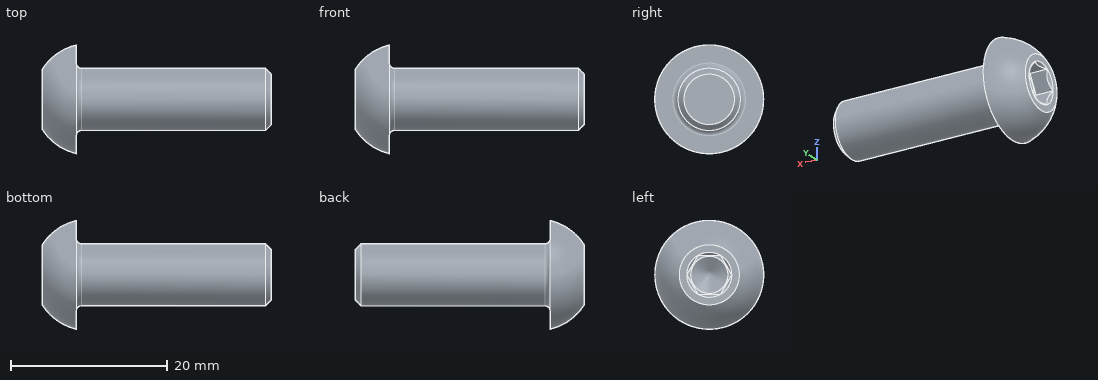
import cadquery as cq
import math

total_length = 29.4
head_diameter = 14.0
head_height = 4.4
head_face_diameter = 7.7
shank_diameter = 8.0
neck_fillet = 0.65
tip_chamfer = 0.75
socket_width = 5.0
socket_depth = 2.6
socket_mouth_diameter = 5.75
socket_mouth_angle = 45.0
drill_diameter = 4.75
drill_tip_angle = 120.0

head_radius = head_diameter / 2
head_face_radius = head_face_diameter / 2
shank_radius = shank_diameter / 2


def dome_midpoint():
    """Point on the dome halfway between the face edge and the rim.

    The dome is a sphere centred on the axis, passing through both edges.
    """
    center_x = (head_height**2 + head_radius**2 - head_face_radius**2) / (2 * head_height)
    dome_radius = math.hypot(center_x, head_face_radius)
    face_angle = math.atan2(head_face_radius, -center_x)
    rim_angle = math.atan2(head_radius, head_height - center_x)
    angle = (face_angle + rim_angle) / 2
    return center_x + dome_radius * math.cos(angle), dome_radius * math.sin(angle)


def revolve_about_x(profile):
    return profile.close().revolve(360, (0, 0, 0), (1, 0, 0))


def screw_body():
    fillet_mid = neck_fillet * (1 - math.sqrt(0.5))
    profile = (
        cq.Workplane("XY")
        .lineTo(0, head_face_radius)
        .threePointArc(dome_midpoint(), (head_height, head_radius))
        .lineTo(head_height, shank_radius + neck_fillet)
        .threePointArc(
            (head_height + fillet_mid, shank_radius + fillet_mid),
            (head_height + neck_fillet, shank_radius),
        )
        .lineTo(total_length - tip_chamfer, shank_radius)
        .lineTo(total_length, shank_radius - tip_chamfer)
        .lineTo(total_length, 0)
    )
    return revolve_about_x(profile)


def hex_socket():
    """Hexagon with two corners on the Y axis."""
    across_corners = socket_width / math.cos(math.pi / 6)
    return cq.Workplane("YZ").polygon(6, across_corners).extrude(socket_depth)


def socket_mouth():
    """Conical lead-in that trims the hexagon corners at the head face."""
    mouth_radius = socket_mouth_diameter / 2
    cone_height = mouth_radius / math.tan(math.radians(socket_mouth_angle))
    return revolve_about_x(cq.Workplane("XY").lineTo(0, mouth_radius).lineTo(cone_height, 0))


def drill_point():
    """Cone left by the pilot drill at the socket floor."""
    drill_radius = drill_diameter / 2
    cone_height = drill_radius / math.tan(math.radians(drill_tip_angle / 2))
    profile = (
        cq.Workplane("XY")
        .moveTo(socket_depth, 0)
        .lineTo(socket_depth, drill_radius)
        .lineTo(socket_depth + cone_height, 0)
    )
    return revolve_about_x(profile)


result = screw_body().cut(hex_socket()).cut(socket_mouth()).cut(drill_point())